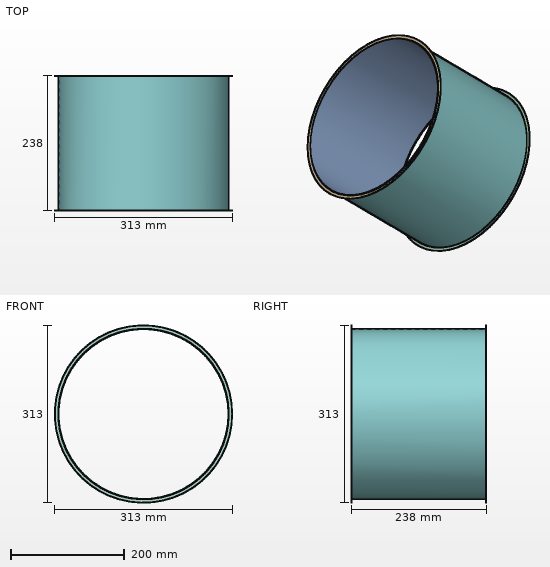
import cadquery as cq

length = 238.0
bore_diameter = 299.0
tube_diameter = 301.0
flange_diameter = 313.0
flange_thickness = 1.0


def cylinder_along_y(diameter, start, depth):
    """Solid cylinder on the Y axis, from Y = start to Y = start + depth."""
    plane = cq.Workplane("XZ", origin=(0, start, 0))
    return plane.circle(diameter / 2).extrude(-depth)


def flanged_duct():
    """Thin tube with a flat outward flange at each end."""
    front_end = -length / 2
    back_flange_start = length / 2 - flange_thickness
    body = cylinder_along_y(tube_diameter, front_end, length)
    for flange_start in (front_end, back_flange_start):
        body = body.union(cylinder_along_y(flange_diameter, flange_start, flange_thickness))
    return body.cut(cylinder_along_y(bore_diameter, front_end, length))


result = flanged_duct()